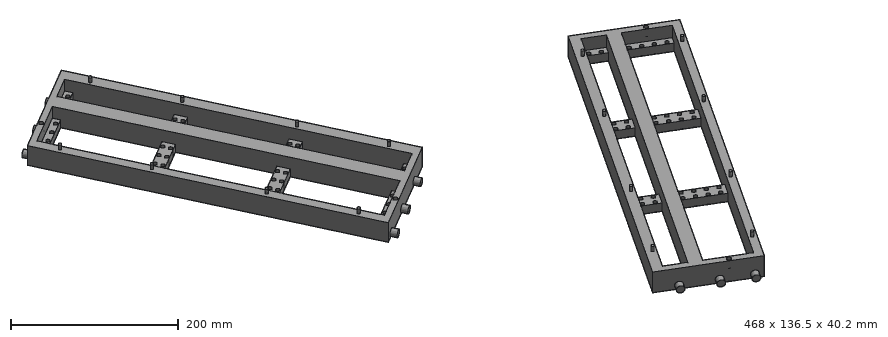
import cadquery as cq

overall_length = 468.0
stub_length = 9.0
frame_length = overall_length - 2 * stub_length
frame_width = 136.5
overall_height = 40.2
pin_height = 8.0
frame_height = overall_height - pin_height

end_wall = 8.5
front_rail = 11.0
front_window_width = 62.0
middle_rail = 18.2
back_window_width = 31.0
window_length = frame_length - 2 * end_wall
front_window_y = front_rail + front_window_width / 2
back_window_y = front_rail + front_window_width + middle_rail + back_window_width / 2

bar_height = 13.0
middle_bar_width = 17.0
end_bar_width = 10.5
bar_offset = 71.5
bar_hole_diameter = 5.0
bar_hole_pitch = 15.5
bar_hole_spacing = 10.0
end_bar_hole_inset = 6.5
front_hole_count = 4
back_hole_count = 2

wall_hole_diameter = 5.5
wall_hole_wide_diameter = 6.0
wall_hole_step_z = 19.5

stub_diameter = 10.8
stub_z = 6.5
stub_ys = (11.5, 54.7, 104.5)

pin_diameter = 4.0
front_pin_inset = 6.0
back_pin_inset = 9.0
outer_pin_offset = 186.0
pin_xs = (-outer_pin_offset, -bar_offset, bar_offset, outer_pin_offset)
pin_ys = (front_pin_inset, frame_width - back_pin_inset)


def box_at(x, y, length, width, height):
    """A block standing on the bottom plane, centred on (x, y)."""
    return cq.Workplane("XY").center(x, y).rect(length, width).extrude(height)


def hole_tool(x, y, bottom, diameter, height):
    """An upright cylinder used to cut a hole."""
    return cq.Workplane("XY", origin=(x, y, bottom)).circle(diameter / 2).extrude(height)


def add_bars(frame, window_y, window_width, hole_count):
    """Adds the four cross bars of one window and drills their rows of holes."""
    end_bar_x = (window_length - end_bar_width) / 2
    end_hole_x = window_length / 2 - end_bar_hole_inset
    hole_xs = [-end_hole_x, end_hole_x]
    for side in (-1, 1):
        frame = frame.union(box_at(side * end_bar_x, window_y, end_bar_width, window_width, bar_height))
        bar_x = side * bar_offset
        frame = frame.union(box_at(bar_x, window_y, middle_bar_width, window_width, bar_height))
        hole_xs += [bar_x - bar_hole_spacing / 2, bar_x + bar_hole_spacing / 2]
    for x in hole_xs:
        for row in range(hole_count):
            y = window_y + (row - (hole_count - 1) / 2) * bar_hole_pitch
            frame = frame.cut(hole_tool(x, y, 0, bar_hole_diameter, bar_height))
    return frame


def drill_end_walls(frame):
    """Drills one stepped hole through each end wall, wide at the bottom."""
    for side in (-1, 1):
        x = side * (frame_length - end_wall) / 2
        frame = frame.cut(hole_tool(x, front_window_y, 0, wall_hole_diameter, frame_height))
        frame = frame.cut(hole_tool(x, front_window_y, 0, wall_hole_wide_diameter, wall_hole_step_z))
    return frame


def add_stubs(frame):
    """Adds three round stubs to each end face."""
    for face_x in (-frame_length / 2 - stub_length, frame_length / 2):
        for y in stub_ys:
            start = cq.Workplane("YZ", origin=(face_x, y, stub_z))
            frame = frame.union(start.circle(stub_diameter / 2).extrude(stub_length))
    return frame


def make_frame():
    """The frame with its windows, cross bars, end wall holes and stubs."""
    frame = box_at(0, frame_width / 2, frame_length, frame_width, frame_height)
    windows = (
        (front_window_y, front_window_width, front_hole_count),
        (back_window_y, back_window_width, back_hole_count),
    )
    for y, width, hole_count in windows:
        frame = frame.cut(box_at(0, y, window_length, width, frame_height))
        frame = add_bars(frame, y, width, hole_count)
    frame = drill_end_walls(frame)
    return add_stubs(frame)


def make_pin(x, y):
    """One upright pin standing on the top of the frame."""
    return cq.Workplane("XY", origin=(x, y, frame_height)).circle(pin_diameter / 2).extrude(pin_height)


frame = make_frame()
pins = [make_pin(x, y) for x in pin_xs for y in pin_ys]

result = cq.Compound.makeCompound([frame.val(), *[pin.val() for pin in pins]])